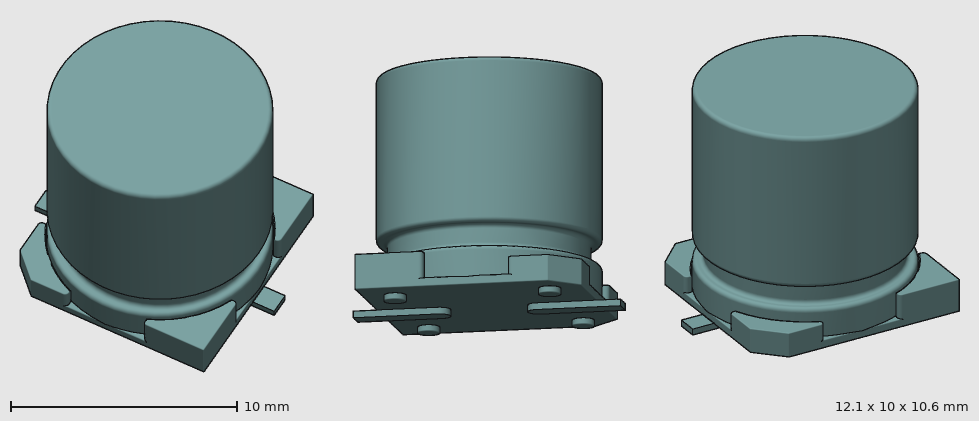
import cadquery as cq
import math

overall_height = 10.6
can_diameter = 10.0
groove_diameter = 9.0
lower_bead_top = 2.08
upper_bead_bottom = 3.13
roll_radius = 0.2

base_bottom = 0.3
plate_top = 0.7
low_post_top = 1.5
high_post_top = 1.9
corner_cut = 1.26
post_gap = 3.84
post_clearance = 0.05
edge_radius = 0.05

overall_length = 12.1
lead_width = 1.0
lead_round_center = 2.25
peg_diameter = 1.0
peg_offset = 3.5

can_radius = can_diameter / 2
groove_radius = groove_diameter / 2
base_side = can_diameter
half_side = base_side / 2
tolerance = 0.001


def make_can():
    """Revolved can with rolled rims and a rounded groove near the bottom."""
    r = roll_radius
    d = roll_radius * (1 - math.sqrt(0.5))
    rim = can_radius - r
    root = groove_radius + r
    bottom = plate_top - edge_radius
    low = lower_bead_top
    high = upper_bead_bottom
    top = overall_height
    return (
        cq.Workplane("XZ")
        .moveTo(0, bottom)
        .lineTo(can_radius, bottom)
        .lineTo(can_radius, low - r)
        .threePointArc((can_radius - d, low - d), (rim, low))
        .lineTo(root, low)
        .threePointArc((groove_radius + d, low + d), (groove_radius, low + r))
        .lineTo(groove_radius, high - r)
        .threePointArc((groove_radius + d, high - d), (root, high))
        .lineTo(rim, high)
        .threePointArc((can_radius - d, high + d), (can_radius, high + r))
        .lineTo(can_radius, top - r)
        .threePointArc((can_radius - d, top - d), (rim, top))
        .lineTo(0, top)
        .close()
        .revolve(360, (0, 0, 0), (0, 1, 0))
    )


def base_block(top):
    """Square block from the base bottom up to top, with its two -X corners cut off."""
    return (
        cq.Workplane("XY")
        .workplane(offset=base_bottom)
        .rect(base_side, base_side)
        .extrude(top - base_bottom)
        .edges("|Z and <X")
        .chamfer(corner_cut)
    )


def is_gap_corner(edge):
    """True for the upright outer edges of the gaps between posts."""
    center = edge.Center()
    near, far = sorted((abs(center.x), abs(center.y)))
    return abs(near - post_gap / 2) < tolerance and abs(far - half_side) < tolerance


def make_posts():
    """Four corner posts, hollowed to clear the can."""
    posts = base_block(high_post_top)
    for gap_x, gap_y in ((post_gap, base_side), (base_side, post_gap)):
        posts = posts.cut(cq.Workplane("XY").rect(gap_x, gap_y).extrude(high_post_top))

    above_low_posts = (
        cq.Workplane("XY")
        .workplane(offset=low_post_top)
        .center(-half_side / 2, 0)
        .rect(half_side, base_side)
        .extrude(high_post_top - low_post_top)
    )
    posts = posts.cut(above_low_posts)

    gap_corners = [edge for edge in posts.edges("|Z").vals() if is_gap_corner(edge)]
    posts = posts.newObject(gap_corners).fillet(roll_radius)
    can_space = cq.Workplane("XY").circle(can_radius + post_clearance).extrude(high_post_top)
    return posts.cut(can_space)


def is_rounded_base_edge(edge):
    """True for the base edges that get the small rounding."""
    box = edge.BoundingBox()
    center = edge.Center()
    near, far = sorted((abs(center.x), abs(center.y)))
    if box.zmax - box.zmin > tolerance:
        return near > half_side - corner_cut - tolerance
    on_post_top = box.zmin > low_post_top - tolerance
    on_bottom = box.zmax < base_bottom + tolerance
    on_plate_rim = abs(box.zmin - plate_top) < tolerance and far > half_side - tolerance
    return on_post_top or on_bottom or on_plate_rim


def make_base():
    """Thin square plate carrying the posts, with its outer edges rounded."""
    base = base_block(plate_top).union(make_posts())
    rounded_edges = [edge for edge in base.edges().vals() if is_rounded_base_edge(edge)]
    return base.newObject(rounded_edges).fillet(edge_radius)


def make_lead(side):
    """Flat lead with a round inner end; side is -1 or +1 along X."""
    straight_length = overall_length / 2 - lead_round_center
    strip = (
        cq.Workplane("XY")
        .center(side * (lead_round_center + straight_length / 2), 0)
        .rect(straight_length, lead_width)
        .extrude(base_bottom)
    )
    round_end = (
        cq.Workplane("XY")
        .center(side * lead_round_center, 0)
        .circle(lead_width / 2)
        .extrude(base_bottom)
    )
    return strip.union(round_end)


def make_pegs():
    """Four round pegs with rounded rims, standing between base and mounting plane."""
    return (
        cq.Workplane("XY")
        .rect(2 * peg_offset, 2 * peg_offset, forConstruction=True)
        .vertices()
        .circle(peg_diameter / 2)
        .extrude(base_bottom)
        .edges()
        .fillet(edge_radius)
    )


result = make_base().union(make_can()).union(make_pegs())
for lead_side in (-1, 1):
    result = result.union(make_lead(lead_side))